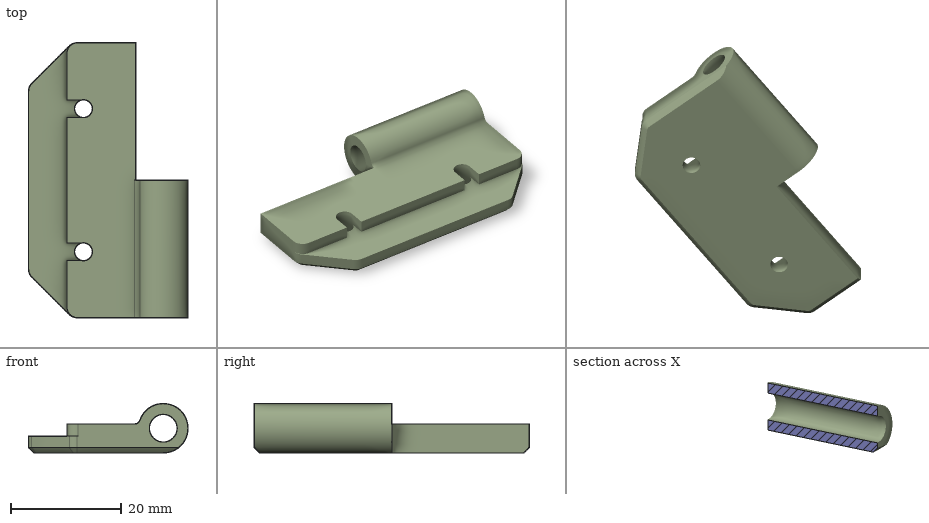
import cadquery as cq
import math

length = 50.0
barrel_radius = 4.5
barrel_x = 24.5
barrel_z = barrel_radius
width = barrel_x + barrel_radius
height = 2 * barrel_radius

barrel_length = length / 2
pin_radius = 2.5
root_fillet = 1.0

plate_width = 19.5
plate_top = 5.3
ledge_top = 3.05
step_x = 7.0
corner_cut = 8.0
corner_radius = 2.0
bottom_chamfer = 1.0

hole_diameter = 3.2
hole_x = 10.0
hole_spacing = 26.0


def block(x_start, x_end, z_start, z_end):
    """Full-length block between the given X and Z limits."""
    return (
        cq.Workplane("XY")
        .box(x_end - x_start, length, z_end - z_start, centered=False)
        .translate((x_start, 0, z_start))
    )


def make_envelope():
    """Outer limit with cut, rounded left corners and a bevelled underside."""
    body = block(0, width, 0, height)
    body = body.edges("|Z and <X").chamfer(corner_cut)
    body = body.edges("|Z").edges("not(>X)").fillet(corner_radius)
    return body.faces("<Z").edges("not(>X)").chamfer(bottom_chamfer)


def make_plate():
    """Low ledge on the left and a raised, round-cornered pad beside it."""
    ledge = block(0, plate_width, 0, ledge_top)
    pad = block(step_x, plate_width, ledge_top, plate_top)
    pad = pad.edges("|Z and <X").fillet(corner_radius)
    return ledge.union(pad)


def make_barrel():
    """Barrel with its web to the plate and a tangent fillet on top of the plate."""
    center_distance = barrel_radius + root_fillet
    rise = plate_top + root_fillet - barrel_z
    run = math.sqrt(center_distance**2 - rise**2)
    fillet_x = barrel_x - run
    share = barrel_radius / center_distance
    touch = (barrel_x - run * share, barrel_z + rise * share)
    middle_angle = (-math.pi / 2 - math.atan2(rise, run)) / 2
    fillet_middle = (
        fillet_x + root_fillet * math.cos(middle_angle),
        plate_top + root_fillet + root_fillet * math.sin(middle_angle),
    )
    profile = (
        cq.Workplane("XZ")
        .moveTo(fillet_x, 0)
        .lineTo(fillet_x, plate_top)
        .threePointArc(fillet_middle, touch)
        .threePointArc((width, barrel_z), (barrel_x, 0))
        .close()
    )
    return profile.extrude(-barrel_length)


def cut_pin_bore(body):
    bore = cq.Workplane("XZ").center(barrel_x, barrel_z).circle(pin_radius).extrude(-barrel_length)
    return body.cut(bore)


def cut_screw_slots(body):
    """Through holes, each with a slot of the same width out to the step face."""
    for side in (-1, 1):
        hole_y = length / 2 + side * hole_spacing / 2
        hole = cq.Workplane("XY").center(hole_x, hole_y).circle(hole_diameter / 2).extrude(height)
        slot = (
            cq.Workplane("XY")
            .box(hole_x - step_x, hole_diameter, plate_top - ledge_top, centered=(False, True, False))
            .translate((step_x, hole_y, ledge_top))
        )
        body = body.cut(hole).cut(slot)
    return body


hinge = make_plate().union(make_barrel()).intersect(make_envelope())
result = cut_screw_slots(cut_pin_bore(hinge))